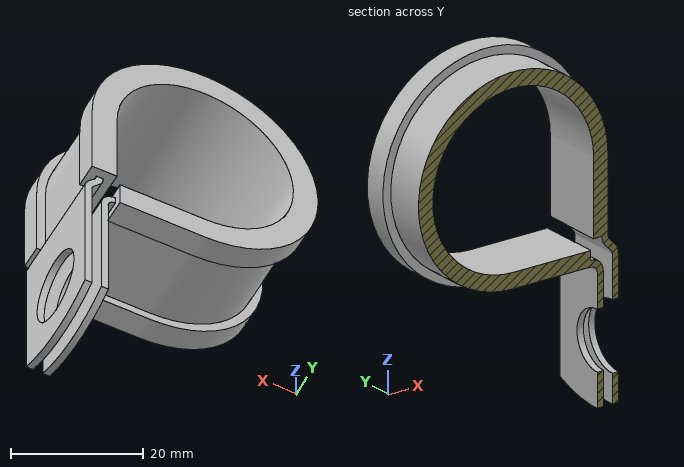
import cadquery as cq
import math

cushion_outer_radius = 19.3
cushion_inner_radius = 15.05
cushion_width = 22.1
channel_width = 14.0
upper_leg_end_z = -13.3
lower_leg_end_x = 14.55

strap_thickness = 1.2
strap_width = 19.2
strap_outer_radius = 17.82
strap_inner_radius = strap_outer_radius - strap_thickness

tab_bottom_z = -41.29
tab_outer_x = 19.76
tab_end_sagitta = 2.1
bend_inner_radius = 1.2
inner_hole_diameter = 10.3
outer_hole_diameter = 12.0
hole_center_z = -30.15

bend_mean_radius = bend_inner_radius + strap_thickness / 2
jog_offset = tab_outer_x - strap_outer_radius
jog_angle = math.radians(45)


def extrude_centered(profile, width):
    """Extrude an XZ profile symmetrically about the XZ plane."""
    return profile.extrude(width / 2, both=True)


def make_wrap(inner_radius, outer_radius, width):
    """Band from the end of the upper leg, around the loop, to the end of the lower leg."""
    diagonal = math.sqrt(0.5)
    profile = (
        cq.Workplane("XZ")
        .moveTo(outer_radius, upper_leg_end_z)
        .lineTo(outer_radius, 0)
        .threePointArc((-outer_radius * diagonal, outer_radius * diagonal), (0, -outer_radius))
        .lineTo(lower_leg_end_x, -outer_radius)
        .lineTo(lower_leg_end_x, -inner_radius)
        .lineTo(0, -inner_radius)
        .threePointArc((-inner_radius * diagonal, inner_radius * diagonal), (inner_radius, 0))
        .lineTo(inner_radius, upper_leg_end_z)
        .close()
    )
    return extrude_centered(profile, width)


def make_cushion():
    """Wrapped cushion with the channel that exposes the strap."""
    body = make_wrap(cushion_inner_radius, cushion_outer_radius, cushion_width)
    channel = make_wrap(strap_outer_radius, cushion_outer_radius, channel_width)
    return body.cut(channel)


def sweep_strap(path, start_plane):
    """Sweep the strap section along a centreline that starts at the plane origin."""
    return cq.Workplane(start_plane).rect(strap_thickness, strap_width).sweep(path)


def make_inner_tab():
    """Tab that turns straight down from the end of the lower leg."""
    mean_z = -(strap_inner_radius + strap_outer_radius) / 2
    path = (
        cq.Workplane("XZ")
        .moveTo(lower_leg_end_x, mean_z)
        .radiusArc((lower_leg_end_x + bend_mean_radius, mean_z - bend_mean_radius), bend_mean_radius)
        .lineTo(lower_leg_end_x + bend_mean_radius, tab_bottom_z)
    )
    start = cq.Plane(origin=(lower_leg_end_x, 0, mean_z), xDir=(0, 0, 1), normal=(1, 0, 0))
    return sweep_strap(path, start)


def make_outer_tab():
    """Tab that jogs outward below the upper leg and then drops straight down."""
    start_x = (strap_inner_radius + strap_outer_radius) / 2
    arc_shift = bend_mean_radius * (1 - math.cos(jog_angle))
    arc_drop = bend_mean_radius * math.sin(jog_angle)
    slope_shift = jog_offset - 2 * arc_shift
    slope_drop = slope_shift / math.tan(jog_angle)

    slope_start = (start_x + arc_shift, upper_leg_end_z - arc_drop)
    slope_end = (slope_start[0] + slope_shift, slope_start[1] - slope_drop)
    jog_end = (start_x + jog_offset, slope_end[1] - arc_drop)
    path = (
        cq.Workplane("XZ")
        .moveTo(start_x, upper_leg_end_z)
        .radiusArc(slope_start, -bend_mean_radius)
        .lineTo(*slope_end)
        .radiusArc(jog_end, bend_mean_radius)
        .lineTo(jog_end[0], tab_bottom_z)
    )
    start = cq.Plane(origin=(start_x, 0, upper_leg_end_z), xDir=(1, 0, 0), normal=(0, 0, -1))
    return sweep_strap(path, start)


def make_tab_outline(hole_diameter):
    """Block along X with the rounded lower end of the tabs and the bolt hole."""
    half_width = strap_width / 2
    corner_z = tab_bottom_z + tab_end_sagitta
    block_length = tab_outer_x + strap_thickness
    outline = (
        cq.Workplane("YZ")
        .moveTo(-half_width, 0)
        .lineTo(-half_width, corner_z)
        .threePointArc((0, tab_bottom_z), (half_width, corner_z))
        .lineTo(half_width, 0)
        .close()
        .extrude(block_length)
    )
    hole = (
        cq.Workplane("YZ")
        .center(0, hole_center_z)
        .circle(hole_diameter / 2)
        .extrude(block_length)
    )
    return outline.cut(hole)


inner_tab = make_inner_tab().intersect(make_tab_outline(inner_hole_diameter))
outer_tab = make_outer_tab().intersect(make_tab_outline(outer_hole_diameter))
result = make_cushion().union(inner_tab).union(outer_tab)